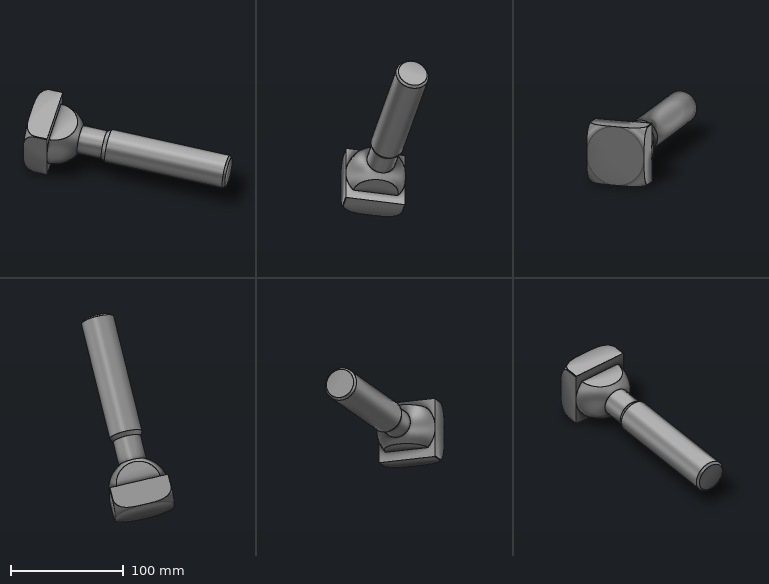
import cadquery as cq
import math

total_length = 182
head_width = 54.0
head_thickness = 22.0
head_corner_radius = 37.9

ball_radius = head_width / 2
ball_thickness = 36.0

neck_diameter = 25.7
neck_end = 68.0
shank_diameter = 30.0
shank_start = 71.9
end_chamfer = 2.0


def cylinder_x(start, end, diameter):
    return cq.Workplane("YZ").workplane(offset=start).circle(diameter / 2).extrude(end - start)


def make_head():
    """Square head whose corners are rounded by a filleted cylinder."""
    square = cq.Workplane("YZ").rect(head_width, head_width).extrude(head_thickness)
    front_fillet = head_corner_radius - head_width / 2
    envelope = cylinder_x(0, head_thickness, 2 * head_corner_radius).faces("<X").edges().fillet(front_fillet)
    return square.intersect(envelope)


def make_ball():
    """Half-ball centred on the back of the head, cut to a flat-sided block."""
    ball = cq.Workplane("XY").sphere(ball_radius).translate((head_thickness, 0, 0))
    block = (
        cq.Workplane("XY")
        .box(ball_radius, head_width, ball_thickness, centered=(False, True, True))
        .translate((head_thickness, 0, 0))
    )
    return ball.intersect(block)


def make_stem():
    """Neck, tapered shoulder and chamfered shank, as one revolved profile."""
    neck_radius = neck_diameter / 2
    shank_radius = shank_diameter / 2
    neck_start = head_thickness + math.sqrt(ball_radius**2 - neck_radius**2)
    root = (neck_start + head_thickness) / 2
    return (
        cq.Workplane("XY")
        .moveTo(root, 0)
        .lineTo(root, neck_radius)
        .lineTo(neck_end, neck_radius)
        .lineTo(shank_start, shank_radius)
        .lineTo(total_length - end_chamfer, shank_radius)
        .lineTo(total_length, shank_radius - end_chamfer)
        .lineTo(total_length, 0)
        .close()
        .revolve(360, (0, 0, 0), (1, 0, 0))
    )


result = make_head().union(make_ball()).union(make_stem())